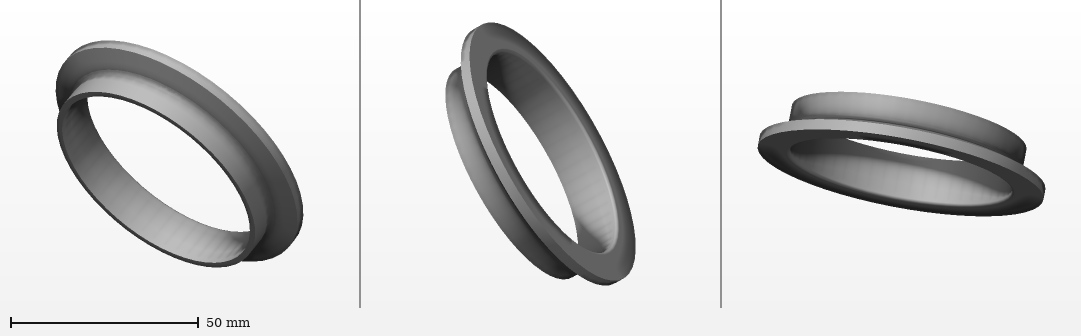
import cadquery as cq
import math

flange_diameter = 77.4
pipe_diameter = 63.5
bore_diameter = 60.1
total_length = 12.7
rim_thickness = 2.9
cone_angle = 20.0
neck_fillet = 1.5
bore_edge_fillet = 0.85

flange_radius = flange_diameter / 2
pipe_radius = pipe_diameter / 2
bore_radius = bore_diameter / 2

cone_length = (flange_radius - pipe_radius) * math.tan(math.radians(cone_angle))
cone_end = rim_thickness + cone_length

section = (
    cq.Workplane("ZY")
    .moveTo(bore_radius, 0)
    .lineTo(flange_radius, 0)
    .lineTo(flange_radius, -rim_thickness)
    .lineTo(pipe_radius, -cone_end)
    .lineTo(pipe_radius, -total_length)
    .lineTo(bore_radius, -total_length)
    .close()
)
ring = section.revolve(360, (0, 0, 0), (0, 1, 0))

corner_margin = 0.1
corner_box = cq.selectors.BoxSelector(
    (-flange_radius, -cone_end - corner_margin, -flange_radius),
    (flange_radius, -cone_end + corner_margin, flange_radius),
    boundingbox=True,
)
neck_edge = ring.edges("%CIRCLE").edges(corner_box)
ring = neck_edge.fillet(neck_fillet)

result = ring.faces(">Y").edges(cq.selectors.RadiusNthSelector(0)).fillet(bore_edge_fillet)